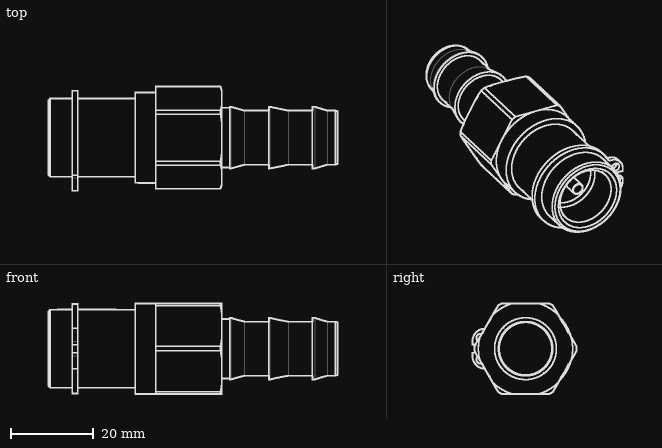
import cadquery as cq
import math

length = 70.0

body_radius = 19.0 / 2
body_chamfer = 0.5
collar_start = 21.0
collar_radius = 22.0 / 2

hex_start = 26.0
hex_end = 42.0
hex_across_flats = 2 * collar_radius
hex_corner_radius = 12.4
hex_chamfer_length = 0.35
hex_chamfer_drop = 1.0

neck_radius = 14.5 / 2
tail_radius = 13.15 / 2
tail_chamfer_length = 0.6
tail_chamfer_drop = 0.2
barb_radius = 7.5
barbs = [
    (43.9, 0.3, 47.45),
    (53.35, 0.3, 58.0),
    (63.9, 0.55, 67.5),
]

bore_radius = 14.1 / 2
bore_floor_radius = 12.5 / 2
bore_chamfer = 1.0
bore_depth = 9.95
pin_radius = 2.8 / 2
pin_start = 4.9
pin_rim = 0.15
pin_dimple_depth = 1.05

ring_start = 5.75
ring_width = 1.4
ring_radius = 10.85
ring_offset = 0.55
groove_radius = 18.0 / 2
slit_half_width = 1.0
lug_radius = 3.15
lug_tip = 12.9
lug_center_y = lug_radius - lug_tip
lug_center_z = 1.75
eyelet_y = -10.85
eyelet_z = 2.6
eyelet_radius = 2.0 / 2


def revolve_about_x(points):
    """Revolve a closed (x, radius) outline about the part axis."""
    outline = cq.Workplane("XY").polyline(points).close()
    return outline.revolve(360, (0, 0, 0), (1, 0, 0))


def cylinder_x(start, end, radius, y=0, z=0):
    """Solid cylinder parallel to X."""
    plane = cq.Workplane("YZ", origin=(start, y, z))
    return plane.circle(radius).extrude(end - start)


def make_turned_body():
    points = [
        (0, 0),
        (0, body_radius - body_chamfer),
        (body_chamfer, body_radius),
        (ring_start, body_radius),
        (ring_start, groove_radius),
        (ring_start + ring_width, groove_radius),
        (ring_start + ring_width, body_radius),
        (collar_start, body_radius),
        (collar_start, collar_radius),
        (hex_start, collar_radius),
        (hex_end, collar_radius),
        (hex_end, neck_radius),
        (barbs[0][0], neck_radius),
    ]
    for start, land, end in barbs:
        if start != barbs[0][0]:
            points.append((start, tail_radius))
        points += [
            (start, barb_radius),
            (start + land, barb_radius),
            (end, tail_radius),
        ]
    points += [
        (length - tail_chamfer_length, tail_radius),
        (length, tail_radius - tail_chamfer_drop),
        (length, 0),
    ]
    return revolve_about_x(points)


def make_hexagon():
    across_corners = hex_across_flats / math.cos(math.pi / 6)
    plane = cq.Workplane("YZ", origin=(hex_start, 0, 0))
    prism = plane.polygon(6, across_corners).extrude(hex_end - hex_start)
    envelope = revolve_about_x([
        (hex_start, 0),
        (hex_start, hex_corner_radius),
        (hex_end - hex_chamfer_length, hex_corner_radius),
        (hex_end, hex_corner_radius - hex_chamfer_drop),
        (hex_end, 0),
    ])
    return prism.intersect(envelope)


def make_bore():
    floor_bevel = bore_radius - bore_floor_radius
    dimple_radius = pin_radius - pin_rim
    return revolve_about_x([
        (0, 0),
        (0, bore_radius + bore_chamfer),
        (bore_chamfer, bore_radius),
        (bore_depth - floor_bevel, bore_radius),
        (bore_depth, bore_floor_radius),
        (bore_depth, pin_radius),
        (pin_start, pin_radius),
        (pin_start, dimple_radius),
        (pin_start + pin_dimple_depth, 0),
    ])


def make_ring():
    ring_end = ring_start + ring_width

    def ring_block(y_min, y_max, z_min, z_max):
        box = cq.Workplane("XY").box(ring_width, y_max - y_min, z_max - z_min, centered=False)
        return box.translate((ring_start, y_min, z_min))

    ring = cylinder_x(ring_start, ring_end, ring_radius, y=ring_offset)
    for side in (1, -1):
        lug_z = side * lug_center_z
        outer_z = lug_z + side * lug_radius
        ring = ring.union(cylinder_x(ring_start, ring_end, lug_radius, lug_center_y, lug_z))
        ring = ring.union(ring_block(lug_center_y, -groove_radius, min(0, outer_z), max(0, outer_z)))
        ring = ring.union(ring_block(-lug_tip, lug_center_y, min(0, lug_z), max(0, lug_z)))
    for side in (1, -1):
        ring = ring.cut(cylinder_x(ring_start, ring_end, eyelet_radius, eyelet_y, side * eyelet_z))
    return ring.cut(ring_block(-lug_tip, 0, -slit_half_width, slit_half_width))


result = make_turned_body().union(make_hexagon()).union(make_ring()).cut(make_bore())